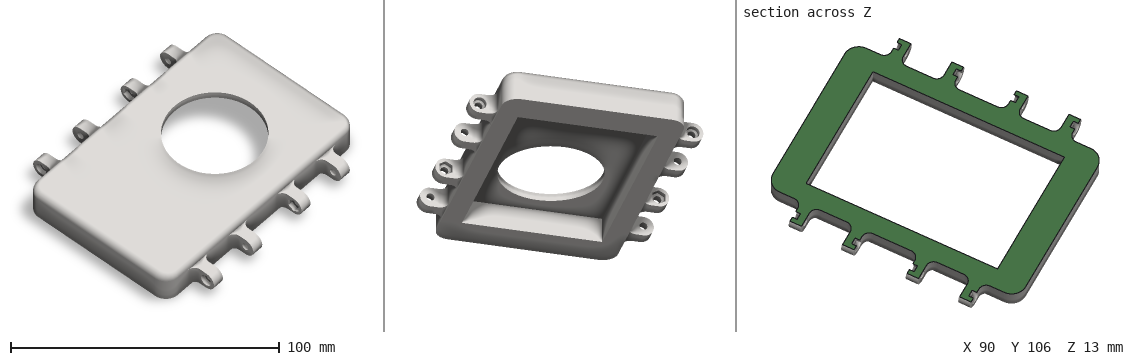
import cadquery as cq
import math

body_width = 70.0
body_length = 106.0
body_height = 13.0
corner_radius = 6.0
top_edge_radius = 3.0
top_thickness = 3.0

window_diameter = 40.0
window_y = 13.0

window_margin = 7.0
cavity_width = window_diameter + 2 * window_margin
cavity_length = 2 * (window_y + window_diameter / 2 + window_margin)
side_wall = (body_width - cavity_width) / 2

lug_reach = 10.0
lug_height = 8.0
lug_thickness = 5.0
lug_bottom = 1.0
lug_root_radius = 3.0
inner_lug_y = 13.5
lug_spacing = 22.0
outer_lug_y = inner_lug_y + lug_spacing
lug_axis_x = body_width / 2 + lug_reach - lug_height / 2
lug_axis_z = lug_bottom + lug_height / 2

screw_diameter = 3.0
head_diameter = 5.0
head_depth = 2.0
nut_across_corners = 5.8
nut_depth = 2.0


def make_cover():
    """Rounded tray with a rectangular cavity open at the bottom."""
    outer = (
        cq.Workplane("XY")
        .rect(body_width, body_length)
        .extrude(body_height)
        .edges("|Z")
        .fillet(corner_radius)
        .faces(">Z")
        .edges()
        .fillet(top_edge_radius)
    )
    cavity = (
        cq.Workplane("XY")
        .rect(cavity_width, cavity_length)
        .extrude(body_height - top_thickness)
    )
    return outer.cut(cavity)


def make_window():
    """Cutter for the round window in the top."""
    return cq.Workplane("XY").center(0, window_y).circle(window_diameter / 2).extrude(body_height)


def lug_section(y):
    """Workplane at the given y, centred on the +X screw axis and extruding toward -Y."""
    return cq.Workplane("XZ", origin=(lug_axis_x, y, lug_axis_z))


def make_lug(y):
    """Lug on the +X side: round-ended, flaring into the wall through two concave root fillets."""
    wall_x = body_width / 2
    half = lug_thickness / 2
    root_x = wall_x + lug_root_radius
    root_half = half + lug_root_radius
    arc_mid = lug_root_radius * (1 - math.sqrt(0.5))
    embedded_x = wall_x - side_wall / 2
    plan = (
        cq.Workplane("XY", origin=(0, y, lug_bottom))
        .moveTo(embedded_x, -root_half)
        .lineTo(wall_x, -root_half)
        .threePointArc((wall_x + arc_mid, -half - arc_mid), (root_x, -half))
        .lineTo(wall_x + lug_reach, -half)
        .lineTo(wall_x + lug_reach, half)
        .lineTo(root_x, half)
        .threePointArc((wall_x + arc_mid, half + arc_mid), (wall_x, root_half))
        .lineTo(embedded_x, root_half)
        .close()
        .extrude(lug_height)
    )
    profile = (
        lug_section(y + root_half)
        .circle(lug_height / 2)
        .extrude(2 * root_half)
        .union(
            cq.Workplane("XY", origin=(0, y, lug_bottom))
            .center((embedded_x + lug_axis_x) / 2, 0)
            .rect(lug_axis_x - embedded_x, 2 * root_half)
            .extrude(lug_height)
        )
    )
    return plan.intersect(profile)


def make_screw_hole(y):
    """Cutter for the screw hole through the lug at y."""
    return lug_section(y + lug_thickness / 2).circle(screw_diameter / 2).extrude(lug_thickness)


def make_head_recess():
    """Cutter sunk from the -Y face of the outer lug on the -Y half."""
    bottom_y = -outer_lug_y - lug_thickness / 2 + head_depth
    return lug_section(bottom_y).circle(head_diameter / 2).extrude(head_depth)


def make_nut_recess():
    """Cutter sunk from the -Y face of the inner lug on the +Y half, with two flats facing X."""
    bottom_y = inner_lug_y - lug_thickness / 2 + nut_depth
    return (
        lug_section(bottom_y)
        .transformed(rotate=(0, 0, 90))
        .polygon(6, nut_across_corners)
        .extrude(nut_depth)
    )


result = make_cover().cut(make_window())

lug_positions = [-outer_lug_y, -inner_lug_y, inner_lug_y, outer_lug_y]
for lug_y in lug_positions:
    lug = make_lug(lug_y).cut(make_screw_hole(lug_y))
    result = result.union(lug).union(lug.mirror("YZ"))

for recess in (make_head_recess(), make_nut_recess()):
    both_halves = recess.union(recess.mirror("XZ"))
    result = result.cut(both_halves).cut(both_halves.mirror("YZ"))